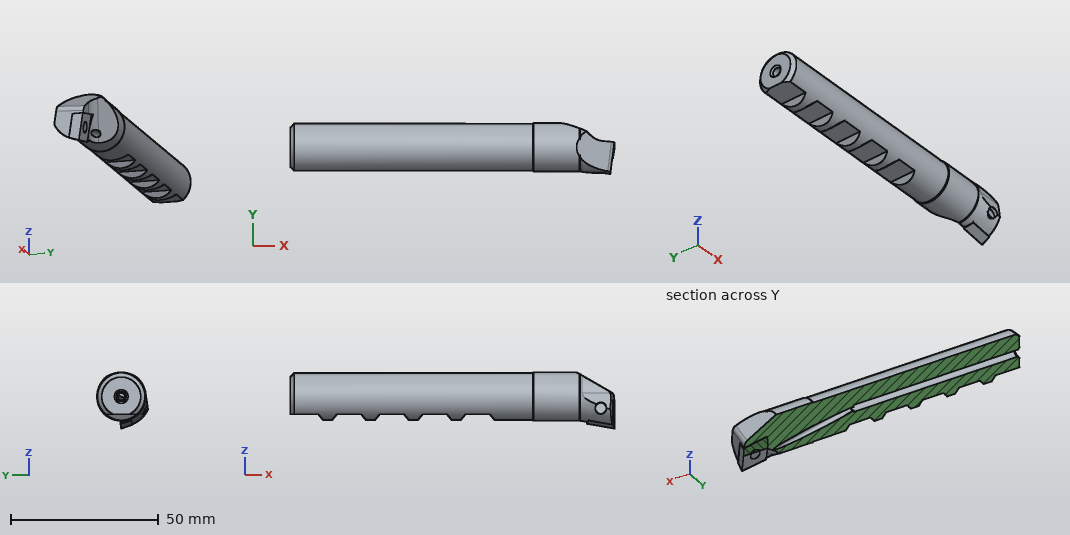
import cadquery as cq
import math


bar_length = 110.0
shank_radius = 8.0
end_chamfer = 1.4
collar_start = 82.2
collar_end = 98.2
collar_radius = 8.2
collar_chamfer = 0.3

flat_depth = 6.0
first_tooth = 9.6
tooth_pitch = 14.5
tooth_length = 6.3
tooth_flank_run = 1.6
tooth_count = 4

bore_radius = 1.6
bore_mouth_radius = 2.3
bore_depth = 66.0
bore_mouth_chamfer = bore_mouth_radius - bore_radius
channel_radius = 1.2
channel_length = 44.0
channel_drop_angle = 10.0
channel_side_angle = 4.0

head_tilt = 8.5
head_cone_angle = 10.0
head_cone_start_radius = 8.2
head_radius = 8.4
slope_start = 97.0
slope_angle = 30.0
end_face_x = 108.6
end_face_angle = 7.0
end_fillet_radius = 2.2

insert_edge = 9.7
insert_corner_angle = 80.0
insert_base_slope = math.radians(90 - insert_corner_angle)
side_run = insert_edge * math.cos(insert_base_slope)
side_rise = insert_edge * math.sin(insert_base_slope)
insert_thickness = 3.8
insert_clearance = 9.0
rake_level = 1.6
insert_tip_z = -10.8

gullet_floor_start = 103.8
gullet_arc_radius = 11.0
gullet_ramp_angle = 32.0
gullet_lean = 0.6

screw_radius = 1.9
screw_recess = 1.3

clear = 33.0


def tangent(angle):
    return math.tan(math.radians(angle))


def tilt_head(shape):
    """Bring a shape from the tilted frame of the head into the frame of the bar."""
    return shape.rotate((0, 0, 0), (1, 0, 0), -head_tilt)


def turned(points):
    """Solid of revolution about the bar axis from (x, radius) points."""
    return cq.Workplane("XZ").polyline(points).close().revolve(360, (0, 0, 0), (1, 0, 0))


def make_shank():
    """Chamfered shank and the slightly larger collar ahead of it."""
    return turned([
        (0, 0),
        (0, shank_radius - end_chamfer),
        (end_chamfer, shank_radius),
        (collar_start, shank_radius),
        (collar_start + collar_chamfer, collar_radius),
        (collar_end - collar_chamfer, collar_radius),
        (collar_end, shank_radius),
        (collar_end, 0),
    ])


def clamping_flats():
    """Grooves with sloped ends that leave the raised teeth between them."""
    flank_height = collar_radius - flat_depth
    flank_run = flank_height * tooth_flank_run / (shank_radius - flat_depth)
    cutter = cq.Workplane("XZ")
    for index in range(tooth_count + 1):
        end = first_tooth + index * tooth_pitch
        start = end - tooth_pitch + tooth_length
        if index == 0:
            start = -clear
        cutter = cutter.polyline([
            (start, -flat_depth),
            (end, -flat_depth),
            (end + flank_run, -collar_radius),
            (start - flank_run, -collar_radius),
        ]).close()
    return cutter.extrude(collar_radius, both=True)


def coolant_bore():
    """Bore with a countersunk mouth, continued by the slanting channel."""
    bore = turned([
        (0, 0),
        (0, bore_mouth_radius),
        (bore_mouth_chamfer, bore_radius),
        (bore_depth, bore_radius),
        (bore_depth, 0),
    ])
    start = cq.Vector(bore_depth, 0, 0)
    direction = cq.Vector(1, tangent(channel_side_angle), -tangent(channel_drop_angle))
    channel = cq.Solid.makeCylinder(channel_radius, channel_length, start, direction)
    return bore.union(cq.Workplane(channel))


def make_head():
    """Widening cone, trimmed to a round upper side and a side flat tangent to it."""
    cone_length = bar_length - collar_end
    cone_end_radius = head_cone_start_radius + cone_length * tangent(head_cone_angle)
    cone = turned([
        (collar_end, 0),
        (collar_end, head_cone_start_radius),
        (bar_length, cone_end_radius),
        (bar_length, 0),
    ])
    envelope = (
        cq.Workplane("YZ", origin=(collar_end, 0, 0))
        .moveTo(-head_radius, -clear)
        .lineTo(-head_radius, 0)
        .threePointArc((0, head_radius), (head_radius, 0))
        .lineTo(head_radius, -clear)
        .close()
        .extrude(cone_length)
    )
    return tilt_head(cone.intersect(envelope))


def front_limits():
    """Block bounded by the top slope and the slanting end face, with the edge between them rounded."""
    slope = tangent(slope_angle)
    block = (
        cq.Workplane("XZ")
        .polyline([
            (-clear, -clear),
            (-clear, collar_radius + (slope_start + clear) * slope),
            (slope_start + clear, collar_radius - clear * slope),
            (slope_start + clear, -clear),
        ])
        .close()
        .extrude(clear, both=True)
    )
    end_cut = (
        cq.Workplane("XY")
        .polyline([
            (end_face_x - (clear - head_radius) * tangent(end_face_angle), -clear),
            (end_face_x + (clear + head_radius) * tangent(end_face_angle), clear),
            (end_face_x + clear, clear),
            (end_face_x + clear, -clear),
        ])
        .close()
        .extrude(clear, both=True)
    )
    edge_height = collar_radius - (end_face_x - slope_start) * slope
    edge = cq.selectors.NearestToPointSelector((end_face_x, 0, edge_height))
    return block.cut(end_cut).edges(edge).fillet(end_fillet_radius)


def chip_gullet():
    """Swept cut in front of the cutting face."""
    angle = math.radians(gullet_ramp_angle)
    arc_run = gullet_arc_radius * math.sin(angle)
    arc_rise = gullet_arc_radius * (1 - math.cos(angle))
    mid_run = gullet_arc_radius * math.sin(angle / 2)
    mid_rise = gullet_arc_radius * (1 - math.cos(angle / 2))
    ramp_rise = 2 * collar_radius
    ramp_run = ramp_rise / math.tan(angle)
    lean_shift = gullet_lean * clear
    profile = (
        cq.Workplane("XY", origin=(-lean_shift, 0, -clear))
        .moveTo(gullet_floor_start + clear, rake_level)
        .lineTo(gullet_floor_start, rake_level)
        .threePointArc(
            (gullet_floor_start - mid_run, rake_level + mid_rise),
            (gullet_floor_start - arc_run, rake_level + arc_rise),
        )
        .lineTo(gullet_floor_start - arc_run - ramp_run, rake_level + arc_rise + ramp_rise)
        .lineTo(gullet_floor_start + clear, rake_level + arc_rise + ramp_rise)
        .close()
    )
    path = cq.Workplane("XZ").moveTo(-lean_shift, -clear).lineTo(lean_shift, clear)
    return tilt_head(profile.sweep(path))


def insert_outline():
    """Rhombus in the cutting face, its sharp corner at the bar's front end."""
    return (
        cq.Workplane("XZ", origin=(0, rake_level, 0))
        .polyline([
            (bar_length, insert_tip_z),
            (bar_length, insert_tip_z + insert_edge),
            (bar_length - side_run, insert_tip_z + side_rise + insert_edge),
            (bar_length - side_run, insert_tip_z + side_rise),
        ])
        .close()
    )


def insert_blank():
    """Insert without its screw hole, narrowing away from the cutting face."""
    blank = insert_outline().extrude(insert_thickness, taper=insert_clearance)
    return tilt_head(blank)


def insert_opening():
    """Clearance above the cutting face."""
    return tilt_head(insert_outline().extrude(-clear))


def screw_cylinder(end_level):
    """Cylinder through the middle of the insert, from its cutting face down to end_level."""
    cylinder = (
        cq.Workplane("XZ", origin=(0, rake_level, 0))
        .center(bar_length - side_run / 2, insert_tip_z + (insert_edge + side_rise) / 2)
        .circle(screw_radius)
        .extrude(rake_level - end_level)
    )
    return tilt_head(cylinder)


screw = screw_cylinder(screw_recess - head_radius)
screw_hole = screw_cylinder(-clear)

insert = insert_blank().cut(screw_hole)

holder = make_shank().cut(clamping_flats()).union(make_head()).intersect(front_limits())
for cutter in (coolant_bore(), chip_gullet(), insert_blank(), insert_opening(), screw_hole):
    holder = holder.cut(cutter)

result = cq.Compound.makeCompound([holder.solids().val(), insert.solids().val(), screw.val()])